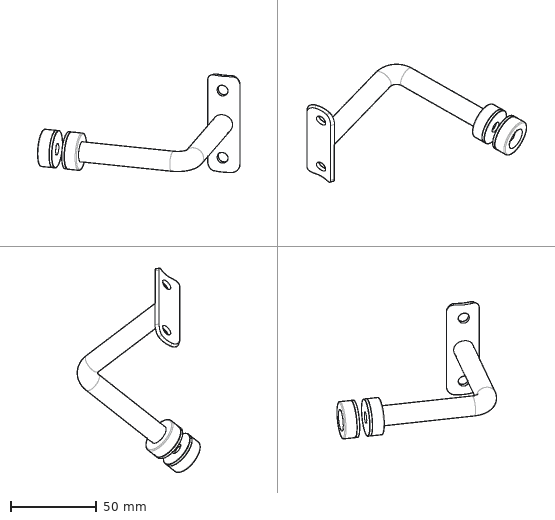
import cadquery as cq
import math

disc_radius = 11.1
cap_length = 7.2
gasket_thickness = 1.8
glass_gap = 5.9
cap_edge_radius = 0.6
gasket_chamfer = 0.2

screw_radius = 3.3
countersink_radius = 6.4
drill_point_height = 1.9

rod_radius = 6.0
bend_radius = 10.0
rod_x = 89.7

saddle_front_y = 68.5
saddle_outer_radius = 18.9
saddle_thickness = 2.4
saddle_width = 19.9
saddle_height = 60.0
saddle_corner_radius = 5.0
saddle_hole_radius = 3.3
saddle_hole_spacing = 42.1

outer_gasket_x = cap_length
inner_gasket_x = outer_gasket_x + gasket_thickness + glass_gap
inner_cap_x = inner_gasket_x + gasket_thickness
inner_cap_end_x = inner_cap_x + cap_length

saddle_inner_radius = saddle_outer_radius - saddle_thickness
saddle_axis_y = saddle_front_y + saddle_outer_radius
saddle_half_angle = math.asin(saddle_width / 2 / saddle_outer_radius)


def x_cylinder(radius, start_x, length):
    """Cylinder along +X, centred on the X axis."""
    return cq.Workplane("YZ", origin=(start_x, 0, 0)).circle(radius).extrude(length)


def revolve_about_x(points):
    """Solid of revolution from (x, radius) points."""
    return cq.Workplane("XY").polyline(points).close().revolve(360, (0, 0, 0), (1, 0, 0))


def make_outer_cap():
    """Outer clamp disc with a countersunk through hole."""
    cap = x_cylinder(disc_radius, 0, cap_length)
    cap = cap.faces("<X").edges().fillet(cap_edge_radius)
    countersink_depth = countersink_radius - screw_radius
    hole = revolve_about_x([
        (0, 0),
        (0, countersink_radius),
        (countersink_depth, screw_radius),
        (cap_length, screw_radius),
        (cap_length, 0),
    ])
    return cap.cut(hole)


def make_gasket(start_x):
    """Flat ring that lies against a cap."""
    gasket = x_cylinder(disc_radius, start_x, gasket_thickness)
    gasket = gasket.faces("<X or >X").edges().chamfer(gasket_chamfer)
    return gasket.cut(x_cylinder(screw_radius, start_x, gasket_thickness))


def make_inner_cap():
    """Inner clamp disc at the end of the rod."""
    cap = x_cylinder(disc_radius, inner_cap_x, cap_length)
    return cap.faces(">X").edges().fillet(cap_edge_radius)


def make_rod():
    """Round rod with one right-angle bend, ending inside the saddle plate."""
    saddle_mid_y = saddle_axis_y - saddle_inner_radius * math.cos(saddle_half_angle)
    bend_mid = bend_radius * math.sin(math.pi / 4)
    path = (
        cq.Workplane("XY")
        .moveTo(inner_cap_end_x, 0)
        .lineTo(rod_x - bend_radius, 0)
        .threePointArc(
            (rod_x - bend_radius + bend_mid, bend_radius - bend_mid),
            (rod_x, bend_radius),
        )
        .lineTo(rod_x, saddle_mid_y)
    )
    rod = cq.Workplane("YZ", origin=(inner_cap_end_x, 0, 0)).circle(rod_radius).sweep(path)
    handrail = (
        cq.Workplane("XY", origin=(rod_x, saddle_axis_y, -saddle_height / 2))
        .circle(saddle_outer_radius)
        .extrude(saddle_height)
    )
    return rod.cut(handrail)


def make_saddle():
    """Arc-shaped plate with rounded corners and two screw holes."""
    def arc_point(radius, angle):
        return (radius * math.sin(angle), -radius * math.cos(angle))

    plate = (
        cq.Workplane("XY", origin=(rod_x, saddle_axis_y, -saddle_height / 2))
        .moveTo(*arc_point(saddle_outer_radius, -saddle_half_angle))
        .threePointArc(
            arc_point(saddle_outer_radius, 0),
            arc_point(saddle_outer_radius, saddle_half_angle),
        )
        .lineTo(*arc_point(saddle_inner_radius, saddle_half_angle))
        .threePointArc(
            arc_point(saddle_inner_radius, 0),
            arc_point(saddle_inner_radius, -saddle_half_angle),
        )
        .close()
        .extrude(saddle_height)
    )
    plate = plate.faces("<Z or >Z").edges("%LINE").fillet(saddle_corner_radius)
    holes = (
        cq.Workplane("XZ", origin=(rod_x, saddle_axis_y, 0))
        .pushPoints([(0, -saddle_hole_spacing / 2), (0, saddle_hole_spacing / 2)])
        .circle(saddle_hole_radius)
        .extrude(saddle_outer_radius)
    )
    return plate.cut(holes)


def make_bracket():
    """Inner cap, rod and saddle plate as one body with a blind screw hole."""
    bracket = make_inner_cap().union(make_rod()).union(make_saddle())
    blind_hole = revolve_about_x([
        (inner_cap_x, 0),
        (inner_cap_x, screw_radius),
        (inner_cap_end_x, screw_radius),
        (inner_cap_end_x + drill_point_height, 0),
    ])
    return bracket.cut(blind_hole)


outer_cap = make_outer_cap()
gaskets = [make_gasket(start_x) for start_x in (outer_gasket_x, inner_gasket_x)]
bracket = make_bracket()

result = cq.Compound.makeCompound([
    outer_cap.val(),
    *[gasket.val() for gasket in gaskets],
    bracket.val(),
])